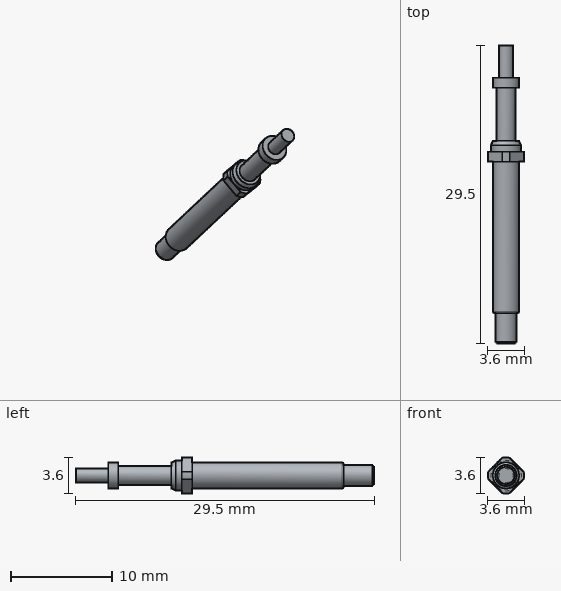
import cadquery as cq
import math


barrel_dia = 2.6
tip_dia = 2.1
shoulder_dia = 3.0
shaft_dia = 1.9
collar_dia = 2.6
pin_dia = 1.4

barrel_length = 15.0
tip_length = 3.0
flange_thickness = 1.0
shoulder_length = 1.05
shaft_length = 5.25
collar_thickness = 1.0
pin_length = 3.2

flange_across_flats = 3.0
flange_corner_dia = 3.6

barrel_round_radius = 0.2
tip_chamfer = 0.2

shoulder_taper_length = 0.45
shoulder_taper_depth = 0.2

barrel_end = -barrel_length
tip_end = barrel_end - tip_length
shoulder_start = flange_thickness
shoulder_end = shoulder_start + shoulder_length
shaft_end = shoulder_end + shaft_length
collar_end = shaft_end + collar_thickness
pin_end = collar_end + pin_length


def plain_cylinder(diameter, end, length):
    """Cylinder along Y, running from `end` toward +Y."""
    return cq.Workplane("XZ", origin=(0, end, 0)).circle(diameter / 2).extrude(-length)


def rounded_barrel():
    """Barrel below the flange with its free edge rounded."""
    barrel = plain_cylinder(barrel_dia, barrel_end, barrel_length)
    return barrel.faces("<Y").edges().fillet(barrel_round_radius)


def chamfered_tip():
    """Narrower tip at the end of the barrel with its free edge chamfered."""
    tip = plain_cylinder(tip_dia, tip_end, tip_length)
    return tip.faces("<Y").edges().chamfer(tip_chamfer)


def turned_head():
    """Revolve the shoulder, shaft, collar and pin, profiled as (radius, Y), about Y."""
    profile = [
        (0, shoulder_start),
        (shoulder_dia / 2, shoulder_start),
        (shoulder_dia / 2, shoulder_end - shoulder_taper_length),
        (shoulder_dia / 2 - shoulder_taper_depth, shoulder_end),
        (shaft_dia / 2, shoulder_end),
        (shaft_dia / 2, shaft_end),
        (collar_dia / 2, shaft_end),
        (collar_dia / 2, collar_end),
        (pin_dia / 2, collar_end),
        (pin_dia / 2, pin_end),
        (0, pin_end),
    ]
    return cq.Workplane("XY").polyline(profile).close().revolve(360, (0, 0, 0), (0, 1, 0))


def square_flange():
    """Square plate with corners on the X and Z axes, trimmed by a round disc."""
    corner_to_corner = flange_across_flats * math.sqrt(2)
    square = cq.Workplane("XZ").polygon(4, corner_to_corner).extrude(-flange_thickness)
    disc = plain_cylinder(flange_corner_dia, 0, flange_thickness)
    return square.intersect(disc)


result = rounded_barrel().union(chamfered_tip()).union(square_flange()).union(turned_head())